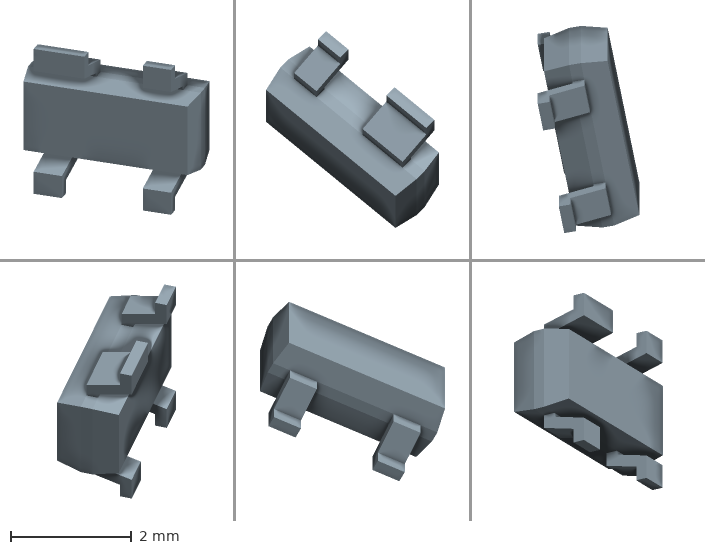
import cadquery as cq
import math

housing_length = 3.04
housing_height = 1.4
housing_depth = 1.07
draft_angle = 10.0

lead_thickness = 0.2
lead_span = 2.64
foot_length = 0.4
slope_angle = 14.2
standoff = 0.15
lead_row_length = 2.42
narrow_width = 0.5
wide_width = 0.895

belt_half = lead_thickness / 2
housing_half_depth = housing_depth / 2
taper_depth = housing_half_depth - belt_half
face_inset = taper_depth * math.tan(math.radians(draft_angle))
foot_front = -housing_half_depth - standoff
foot_back = foot_front + lead_thickness
belt_edge_z = housing_height / 2
tip_z = lead_span / 2
foot_bend_z = tip_z - foot_length
slope_rise = (belt_half - foot_back) * math.tan(math.radians(slope_angle))
shoulder_bend_z = foot_bend_z - slope_rise
bend_shift = lead_thickness * math.tan(math.radians((90 - slope_angle) / 2))
row_end = lead_row_length / 2


def tapered_half(side):
    """Half of the housing that narrows from the belt to the face on the given Y side (+1 or -1)."""
    belt_plane = cq.Plane(origin=(0, side * belt_half, 0), xDir=(1, 0, 0), normal=(0, side, 0))
    return (
        cq.Workplane(belt_plane)
        .rect(housing_length, housing_height)
        .workplane(offset=taper_depth)
        .rect(housing_length - 2 * face_inset, housing_height - 2 * face_inset)
        .loft(ruled=True, combine=True)
    )


def make_housing():
    belt = cq.Workplane("XY").box(housing_length, lead_thickness, housing_height)
    return belt.union(tapered_half(1)).union(tapered_half(-1))


def make_lead(left_x, width, side):
    """Z-bent lead starting at left_x, butted to the top (side=+1) or bottom (side=-1) of the belt."""
    profile = [
        (belt_half, belt_edge_z),
        (belt_half, shoulder_bend_z + bend_shift),
        (foot_back, foot_bend_z + bend_shift),
        (foot_back, tip_z),
        (foot_front, tip_z),
        (foot_front, foot_bend_z),
        (-belt_half, shoulder_bend_z),
        (-belt_half, belt_edge_z),
    ]
    side_profile = [(y, side * z) for y, z in profile]
    return (
        cq.Workplane("YZ", origin=(left_x, 0, 0))
        .polyline(side_profile)
        .close()
        .extrude(width)
    )


housing = make_housing()

lead_layout = [
    (-row_end, wide_width, 1),
    (row_end - narrow_width, narrow_width, 1),
    (-row_end, narrow_width, -1),
    (row_end - narrow_width, narrow_width, -1),
]
leads = [make_lead(left_x, width, side) for left_x, width, side in lead_layout]

result = cq.Compound.makeCompound([housing.val(), *[lead.val() for lead in leads]])